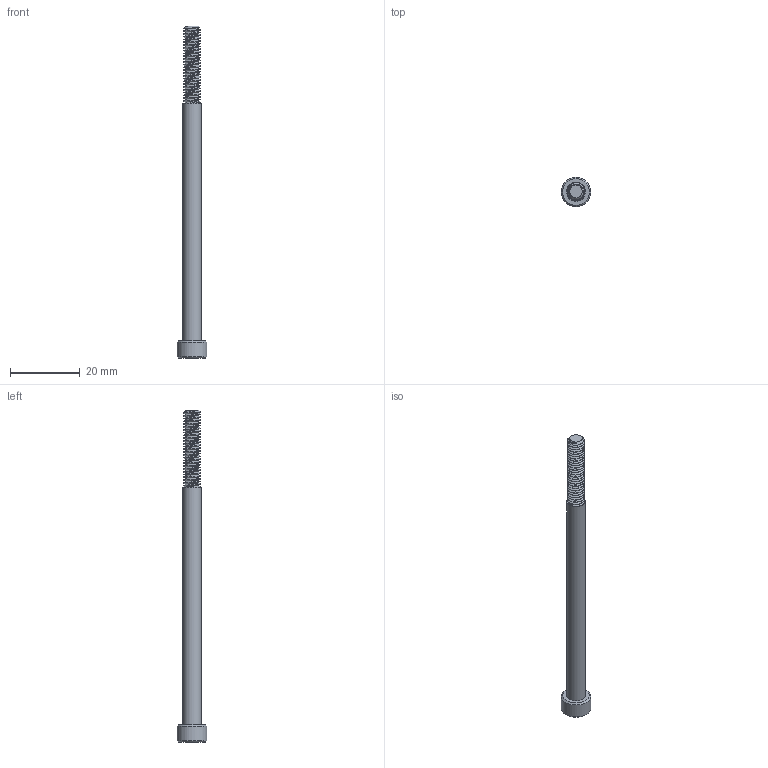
import cadquery as cq
import math

head_diameter = 8.5
head_height = 5.0
head_chamfer = 0.425

screw_length = 90.0
shank_diameter = 5.4

thread_diameter = 5.0
thread_pitch = 0.8
thread_length = 22.1
thread_start_angle = 112.0
tip_chamfer = 0.7

flank_half_angle = math.radians(30)
crest_flat = thread_pitch / 8
thread_depth = 0.5

head_radius = head_diameter / 2
shank_radius = shank_diameter / 2
shank_top = screw_length - thread_length
thread_radius = thread_diameter / 2
core_radius = thread_radius - thread_depth


def make_head_and_shank():
    """Turned body: the head, chamfered at both ends, and the plain shank above it."""
    head = (
        cq.Workplane("XY", origin=(0, 0, -head_height))
        .circle(head_radius)
        .extrude(head_height)
        .edges()
        .chamfer(head_chamfer)
    )
    shank = cq.Workplane("XY").circle(shank_radius).extrude(shank_top)
    return head.union(shank)


def make_thread_ridge():
    """Right-handed helical ridge that runs at least one turn past both ends of the thread."""
    turns_below_tip = math.ceil(thread_length / thread_pitch) + 1
    turns_above_tip = 1
    ridge_start = screw_length - turns_below_tip * thread_pitch
    ridge_length = (turns_below_tip + turns_above_tip) * thread_pitch

    foot_sink = 0.05
    foot_radius = core_radius - foot_sink
    crest_half_width = crest_flat / 2
    foot_half_width = crest_half_width + (thread_depth + foot_sink) * math.tan(flank_half_angle)
    profile = (
        cq.Workplane("XZ")
        .moveTo(foot_radius, ridge_start - foot_half_width)
        .lineTo(thread_radius, ridge_start - crest_half_width)
        .lineTo(thread_radius, ridge_start + crest_half_width)
        .lineTo(foot_radius, ridge_start + foot_half_width)
        .close()
    )
    helix = cq.Wire.makeHelix(thread_pitch, ridge_length, foot_radius, cq.Vector(0, 0, ridge_start))
    ridge = profile.sweep(cq.Workplane(helix), isFrenet=True)
    return ridge.rotate((0, 0, 0), (0, 0, 1), thread_start_angle)


def make_trim_envelope():
    """Cylinder just clear of the thread crests, with the 45 degree cone of the tip chamfer."""
    crest_clearance = 0.1
    return (
        cq.Workplane("XY", origin=(0, 0, shank_top))
        .circle(thread_radius + crest_clearance)
        .extrude(thread_length)
        .faces(">Z")
        .chamfer(tip_chamfer + crest_clearance)
    )


def make_threaded_end():
    """Core with the helical ridge, both trimmed to the thread length and the tip chamfer."""
    envelope = make_trim_envelope()
    core = cq.Workplane("XY", origin=(0, 0, shank_top)).circle(core_radius).extrude(thread_length)
    ridge = make_thread_ridge()
    return core.intersect(envelope).union(ridge.intersect(envelope))


result = make_head_and_shank().union(make_threaded_end())